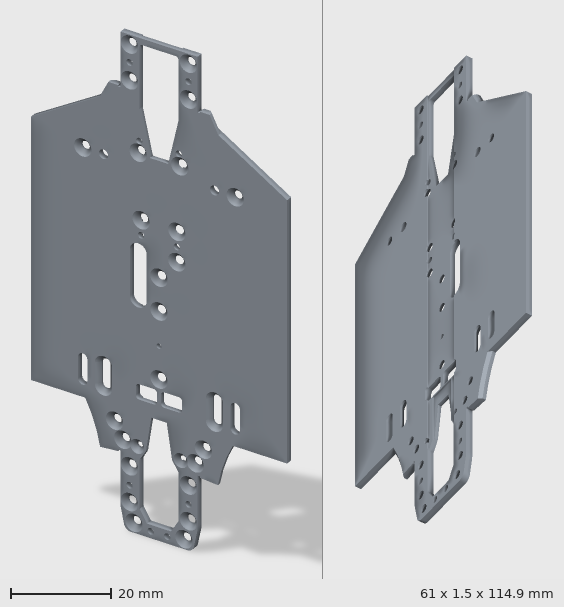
import cadquery as cq
import math

thickness = 1.5
height = 114.9
half_height = height / 2
half_width = 61.0 / 2

tab_half_width = 9.2
notch_width = 0.6
notch_depth = 0.3
upper_shoulder_z = 44.9
upper_shoulder_x = 12.1
upper_knee = (14.1, 40.9)
side_top_z = 31.0
side_bottom_z = -29.9
flank_start_x = 17.6
flank_middle = (15.4, -34.8)
flank_end = (14.0, -40.1)
lower_shoulder_z = -39.8
tab_bend_start_z = -51.4
tab_bend_end = (9.0, -53.1)
tab_end_half_width = 8.0
tab_corner_radius = 1.6

window_half_width = 4.6
upper_window_top_z = 56.0
upper_window_taper_z = 41.0
upper_window_foot = (2.2, 30.5)
upper_window_corner_radius = 0.6
lower_window_head = (1.8, -29.5)
lower_window_waist = (3.1, -37.7)
lower_window_rail_top_z = -40.1
lower_window_rail_bottom_z = -51.5
lower_window_foot = (2.9, -54.3)

groove_width = 9.7
groove_depth = 0.3
neck_recess_width = 6.7
neck_recess_top_z = -26.4
neck_recess_depth = 0.7
flank_chamfer = 0.7

screw_diameter = 2.0
countersink_diameter = 4.1
small_screw_diameter = 1.4
small_countersink_diameter = 3.3
countersink_angle = 90

pin_diameter = 1.5
locating_diameter = 2.2
pilot_diameter = 1.1

rail_x = 7.0
outer_x = 18.2
inner_x = 13.2
post_x = 4.3
upper_row_z = 27.8
post_top_z = 15.4
post_bottom_z = 8.4
paired_screws = [
    (rail_x, 55.2),
    (rail_x, 46.9),
    (4.9, 30.8),
    (outer_x, upper_row_z),
    (10.6, -33.0),
    (8.6, -36.8),
    (rail_x, -42.4),
    (rail_x, -50.7),
    (6.0, -55.2),
]
single_screws = [
    (-post_x, post_top_z),
    (post_x, post_top_z),
    (post_x, post_bottom_z),
    (0, 3.5),
    (0, -4.4),
    (0, -20.1),
]
paired_small_screws = [(5.2, -37.2)]
paired_pins = [
    (rail_x, 51.0),
    (4.7, 33.5),
    (post_x, (post_top_z + post_bottom_z) / 2),
    (rail_x, -46.8),
    (2.0, -55.8),
]
paired_locating_holes = [(inner_x, upper_row_z)]
pilot_holes = [(0, -12.4)]

slot_row_z = -23.4
plain_slot_length = 7.2
plain_slot_width = 2.2
screw_slot_length = 7.0
screw_slot_width = 2.1
screw_slot_mouth_length = 9.1
screw_slot_bevel = (screw_slot_mouth_length - screw_slot_length) / 2
screw_slot_mouth_width = screw_slot_width + 2 * screw_slot_bevel
screw_slot_bevel_depth = screw_slot_bevel / math.tan(math.radians(countersink_angle / 2))
long_slot_center = (-4.9, 2.4)
long_slot_length = 14.8
long_slot_width = 4.0
strap_opening_center = (3.0, -24.5)
strap_opening_width = 5.0
strap_opening_height = 3.6
strap_opening_radius = 0.8


def front_plane():
    """Plane on the countersunk face, with x to the right and Z up."""
    return cq.Workplane("XZ", origin=(0, -thickness / 2, 0))


def mirrored(points):
    """The given points and their mirror images about the centre line."""
    return [(side * x, z) for x, z in points for side in (1, -1)]


def symmetric_prism(half_points):
    """Prism through the plate from the right-hand half of a symmetric outline."""
    left_points = [(-x, z) for x, z in reversed(half_points)]
    return front_plane().polyline(half_points + left_points).close().extrude(-thickness)


def plate():
    notch_x = tab_half_width + notch_width
    half = (
        front_plane()
        .moveTo(0, half_height)
        .lineTo(tab_half_width, half_height)
        .lineTo(tab_half_width, upper_shoulder_z - notch_depth)
        .lineTo(notch_x, upper_shoulder_z - notch_depth)
        .lineTo(notch_x, upper_shoulder_z)
        .lineTo(upper_shoulder_x, upper_shoulder_z)
        .lineTo(*upper_knee)
        .lineTo(half_width, side_top_z)
        .lineTo(half_width, side_bottom_z)
        .lineTo(flank_start_x, side_bottom_z)
        .threePointArc(flank_middle, flank_end)
        .lineTo(notch_x, lower_shoulder_z)
        .lineTo(notch_x, lower_shoulder_z + notch_depth)
        .lineTo(tab_half_width, lower_shoulder_z + notch_depth)
        .lineTo(tab_half_width, tab_bend_start_z)
        .tangentArcPoint(tab_bend_end, relative=False)
        .lineTo(tab_end_half_width, -half_height)
        .lineTo(0, -half_height)
        .close()
        .extrude(-thickness)
    )
    whole = half.union(half.mirror("YZ")).clean()
    return whole.faces("<Z").edges("|Y").fillet(tab_corner_radius)


def upper_window():
    window = symmetric_prism([
        (window_half_width, upper_window_top_z),
        (window_half_width, upper_window_taper_z),
        upper_window_foot,
    ])
    return window.faces(">Z").edges("|Y").fillet(upper_window_corner_radius)


def lower_window():
    return symmetric_prism([
        lower_window_head,
        lower_window_waist,
        (window_half_width, lower_window_rail_top_z),
        (window_half_width, lower_window_rail_bottom_z),
        lower_window_foot,
    ])


def slots(centers, length, width):
    return front_plane().pushPoints(centers).slot2D(length, width, 90).extrude(-thickness)


def screw_slots():
    centers = mirrored([(inner_x, slot_row_z)])
    mouths = (
        front_plane()
        .pushPoints(centers)
        .slot2D(screw_slot_mouth_length, screw_slot_mouth_width, 90)
        .extrude(-screw_slot_bevel_depth, taper=countersink_angle / 2)
    )
    return mouths.union(slots(centers, screw_slot_length, screw_slot_width))


def strap_openings():
    return (
        front_plane()
        .pushPoints(mirrored([strap_opening_center]))
        .rect(strap_opening_width, strap_opening_height)
        .extrude(-thickness)
        .edges("|Y")
        .fillet(strap_opening_radius)
    )


def back_relief(width, top_z, depth):
    """Cutter sunk into the back face, running down to the lower shoulders."""
    length = top_z - lower_shoulder_z
    return (
        cq.Workplane("XZ", origin=(0, thickness / 2, (top_z + lower_shoulder_z) / 2))
        .rect(width, length)
        .extrude(depth)
    )


def chamfer_flanks(body):
    upper_middle = ((upper_shoulder_x + upper_knee[0]) / 2, (upper_shoulder_z + upper_knee[1]) / 2)
    for x, z in mirrored([upper_middle, flank_middle]):
        back_edge = cq.selectors.NearestToPointSelector((x, thickness / 2, z))
        body = body.edges(back_edge).chamfer(flank_chamfer)
    return body


def drill(body, points, diameter):
    holes = front_plane().pushPoints(points).circle(diameter / 2).extrude(-thickness)
    return body.cut(holes)


def drill_countersunk(body, points, diameter, mouth_diameter):
    return (
        front_plane()
        .add(body)
        .pushPoints(points)
        .cskHole(diameter, mouth_diameter, countersink_angle)
    )


result = chamfer_flanks(plate()).cut(upper_window()).cut(lower_window())
result = result.cut(slots([long_slot_center], long_slot_length, long_slot_width))
result = result.cut(slots(mirrored([(outer_x, slot_row_z)]), plain_slot_length, plain_slot_width))
result = result.cut(screw_slots()).cut(strap_openings())
result = result.cut(back_relief(groove_width, half_height, groove_depth))
result = result.cut(back_relief(neck_recess_width, neck_recess_top_z, neck_recess_depth))

result = drill(result, mirrored(paired_pins), pin_diameter)
result = drill(result, mirrored(paired_locating_holes), locating_diameter)
result = drill(result, pilot_holes, pilot_diameter)

screws = mirrored(paired_screws) + single_screws
small_screws = mirrored(paired_small_screws)
result = drill_countersunk(result, screws, screw_diameter, countersink_diameter)
result = drill_countersunk(result, small_screws, small_screw_diameter, small_countersink_diameter)